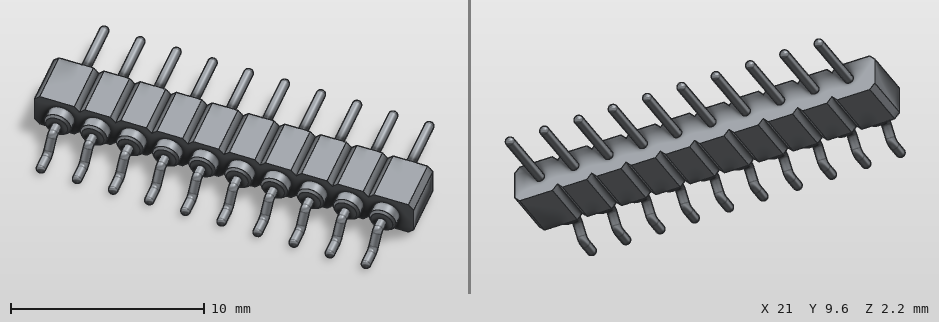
import cadquery as cq
import math

pin_count = 10
body_length = 21.0
body_height = 2.2
body_depth = 2.8
pitch = body_length / (pin_count + 0.5)

notch_half_width = 0.3
notch_depth = 0.32

collar_diameter = 1.47
collar_length = 0.7
collar_chamfer = 0.13

pin_diameter = 0.5
pin_radius = pin_diameter / 2
tail_length = 3.61
tip_rounding = 0.2

overall_depth = 9.6
stub_length = 0.5
bend_angle = 51.0
upper_bend_radius = 0.27
lower_bend_radius = 0.55
lead_drop = body_height / 2 - pin_radius

bend_run_factor = math.sin(math.radians(bend_angle))
bend_drop_factor = 1 - math.cos(math.radians(bend_angle))
upper_bend_run = upper_bend_radius * bend_run_factor
upper_bend_drop = upper_bend_radius * bend_drop_factor
lower_bend_run = lower_bend_radius * bend_run_factor
lower_bend_drop = lower_bend_radius * bend_drop_factor
slope_drop = lead_drop - upper_bend_drop - lower_bend_drop
slope_run = slope_drop / math.tan(math.radians(bend_angle))
lead_length = overall_depth - tail_length - body_depth - collar_length
foot_length = lead_length - stub_length - upper_bend_run - lower_bend_run - slope_run

body_front = -body_depth / 2
body_back = body_depth / 2
collar_front = body_front - collar_length
foot_back = collar_front - lead_length + foot_length

pin_positions = [(i - (pin_count - 1) / 2) * pitch for i in range(pin_count)]


def edge_groove(x, side):
    """V groove along Y in the top (side=1) or bottom (side=-1) face."""
    edge = side * body_height / 2
    points = [
        (x - notch_half_width, edge),
        (x, edge - side * notch_depth),
        (x + notch_half_width, edge),
    ]
    return cq.Workplane("XZ", origin=(0, body_back, 0)).polyline(points).close().extrude(body_depth)


def make_body():
    """Bar notched between pins; the same groove at each end bevels its corners."""
    body = cq.Workplane("XY").box(body_length, body_depth, body_height)
    for side in (1, -1):
        for x in pin_positions[:-1]:
            body = body.cut(edge_groove(x + pitch / 2, side))
        for end in (-body_length / 2, body_length / 2):
            body = body.cut(edge_groove(end, side))
    return body


def round_tipped_rod(length):
    """Straight pin end of the given length along +Y, with a rounded tip."""
    end = cq.Workplane("XZ").circle(pin_radius).extrude(-length)
    return end.faces(">Y").edges().fillet(tip_rounding)


def make_collar():
    """Round collar on the body front with a bevelled rim."""
    collar = cq.Workplane("XZ", origin=(0, body_front, 0)).circle(collar_diameter / 2).extrude(collar_length)
    return collar.faces("<Y").edges().chamfer(collar_chamfer)


def make_bent_lead():
    """Round lead swept from the body front down to the start of the foot."""
    stub_front = collar_front - stub_length
    slope_top = (stub_front - upper_bend_run, -upper_bend_drop)
    slope_bottom = (foot_back + lower_bend_run, lower_bend_drop - lead_drop)
    path = (
        cq.Workplane("YZ")
        .moveTo(body_front, 0)
        .lineTo(stub_front, 0)
        .tangentArcPoint(slope_top, relative=False)
        .lineTo(*slope_bottom)
        .tangentArcPoint((foot_back, -lead_drop), relative=False)
    )
    return cq.Workplane("XZ", origin=(0, body_front, 0)).circle(pin_radius).sweep(path)


tail = round_tipped_rod(tail_length).translate((0, body_back, 0))
foot = round_tipped_rod(foot_length).mirror("XZ").translate((0, foot_back, -lead_drop))
front_end = make_collar().union(make_bent_lead()).union(foot)

result = make_body()
for x in pin_positions:
    for pin_part in (tail, front_end):
        result = result.union(pin_part.translate((x, 0, 0)))